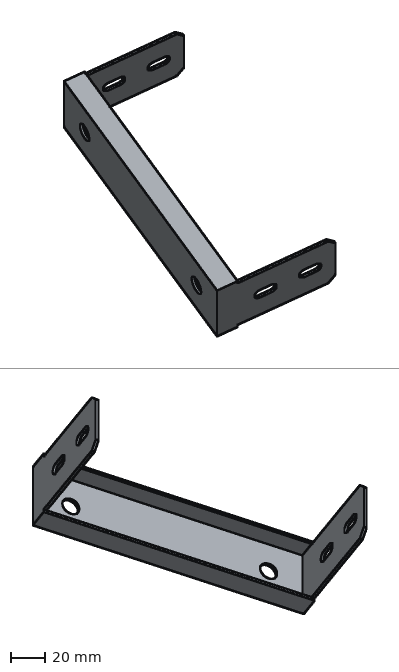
import cadquery as cq

length = 178.0
depth = 80.0
height = 44.0
sheet = 2.0

channel_depth = 13.9
arm_height = 40.0
arm_corner_chamfer = 5.0

hole_diameter = 11.0
hole_spacing = 130.0

slot_length = 15.0
slot_width = 7.1
slot_spacing = 30.0
outer_slot_from_tip = 17.0


def make_channel():
    """Front plate with top, bottom and end walls, open at the rear."""
    outer = cq.Workplane("XY").box(length, channel_depth, height, centered=(True, False, True))
    cavity = (
        cq.Workplane("XY")
        .box(length - 2 * sheet, channel_depth, height - 2 * sheet, centered=(True, False, True))
        .translate((0, sheet, 0))
    )
    return outer.cut(cavity)


def make_arm(outer_x):
    """Side arm starting at outer_x and thickened toward the middle of the part."""
    inward = sheet if outer_x < 0 else -sheet
    slot_centers = [(depth - outer_slot_from_tip - i * slot_spacing, 0) for i in range(2)]
    plate = (
        cq.Workplane("YZ", origin=(outer_x, 0, 0))
        .center(depth / 2, 0)
        .rect(depth, arm_height)
        .extrude(inward)
        .edges("|X and >Y")
        .chamfer(arm_corner_chamfer)
    )
    slots = (
        cq.Workplane("YZ", origin=(outer_x, 0, 0))
        .pushPoints(slot_centers)
        .slot2D(slot_length, slot_width)
        .extrude(inward)
    )
    return plate.cut(slots)


def make_mounting_holes():
    """Cutters for the two round holes through the front plate."""
    return (
        cq.Workplane("XZ")
        .pushPoints([(-hole_spacing / 2, 0), (hole_spacing / 2, 0)])
        .circle(hole_diameter / 2)
        .extrude(-sheet)
    )


bracket = make_channel()
for arm_x in (-length / 2, length / 2):
    bracket = bracket.union(make_arm(arm_x))

result = bracket.cut(make_mounting_holes())